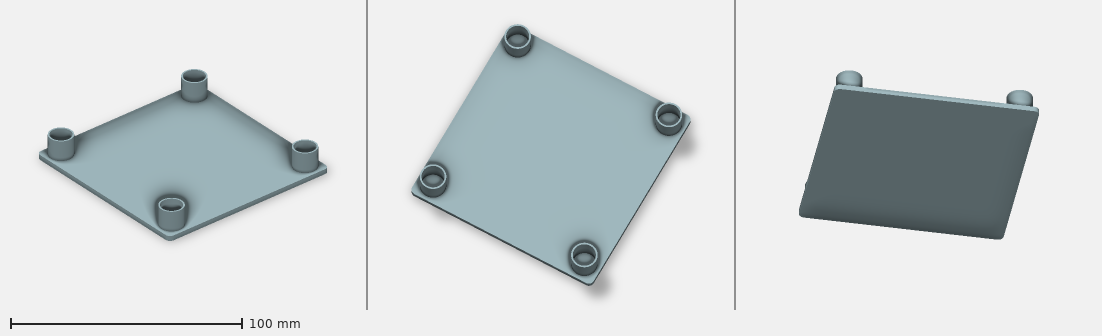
import cadquery as cq

plate_side = 90.0
plate_thickness = 2.5
corner_radius = 2.5

total_height = 12.5
socket_height = total_height - plate_thickness
socket_outer_diameter = 11.5
socket_bore_diameter = 10.0
socket_spacing = 75.0


def make_plate():
    """Square plate with rounded vertical corners, resting on Z = 0."""
    return (
        cq.Workplane("XY")
        .box(plate_side, plate_side, plate_thickness, centered=(True, True, False))
        .edges("|Z")
        .fillet(corner_radius)
    )


def add_sockets(plate):
    """Add four open-topped tubes whose bores end at the plate's upper face."""
    sockets = (
        cq.Workplane("XY")
        .workplane(offset=plate_thickness)
        .rect(socket_spacing, socket_spacing, forConstruction=True)
        .vertices()
        .circle(socket_outer_diameter / 2)
        .circle(socket_bore_diameter / 2)
        .extrude(socket_height)
    )
    return plate.union(sockets)


result = add_sockets(make_plate())